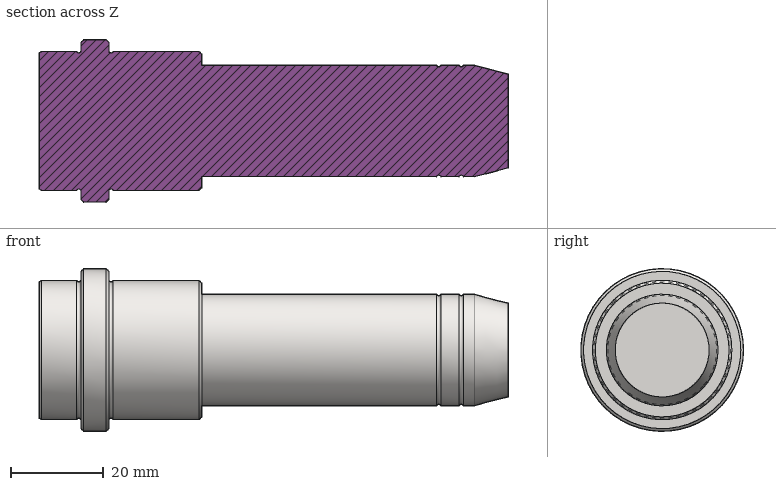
import cadquery as cq

total_length = 101.0
head_diameter = 30.0
collar_diameter = 35.0
shank_diameter = 24.0
tip_diameter = 20.2

collar_start = 9.0
collar_end = 15.0
shoulder_end = 35.0
tip_start = 93.7

face_chamfer_length = 0.3
face_chamfer_depth = 0.5
edge_chamfer = 0.6

groove_width = 0.9
groove_depth = 0.3
shank_groove_starts = (85.5, 90.4)
head_groove_starts = (collar_start - groove_width, collar_end)


def cylinder(start, end, diameter):
    """Solid cylinder along X between two stations."""
    return cq.Workplane("YZ", origin=(start, 0, 0)).circle(diameter / 2).extrude(end - start)


def groove(start, diameter):
    """Ring with an arc-shaped floor that cuts a shallow groove into a cylinder."""
    radius = diameter / 2
    return (
        cq.Workplane("XY")
        .moveTo(start, radius)
        .threePointArc((start + groove_width / 2, radius - groove_depth), (start + groove_width, radius))
        .lineTo(start + groove_width, radius + groove_depth)
        .lineTo(start, radius + groove_depth)
        .close()
        .revolve(360, (0, 0, 0), (1, 0, 0))
    )


head = cylinder(0, shoulder_end, head_diameter)
head = head.faces("<X").chamfer(face_chamfer_depth, face_chamfer_length)
head = head.faces(">X").chamfer(edge_chamfer)
for start in head_groove_starts:
    head = head.cut(groove(start, head_diameter))

collar = cylinder(collar_start, collar_end, collar_diameter).faces("<X or >X").chamfer(edge_chamfer)

shank = cylinder(collar_end, total_length, shank_diameter)
shank = shank.faces(">X").chamfer(total_length - tip_start, (shank_diameter - tip_diameter) / 2)
for start in shank_groove_starts:
    shank = shank.cut(groove(start, shank_diameter))

result = head.union(collar).union(shank)